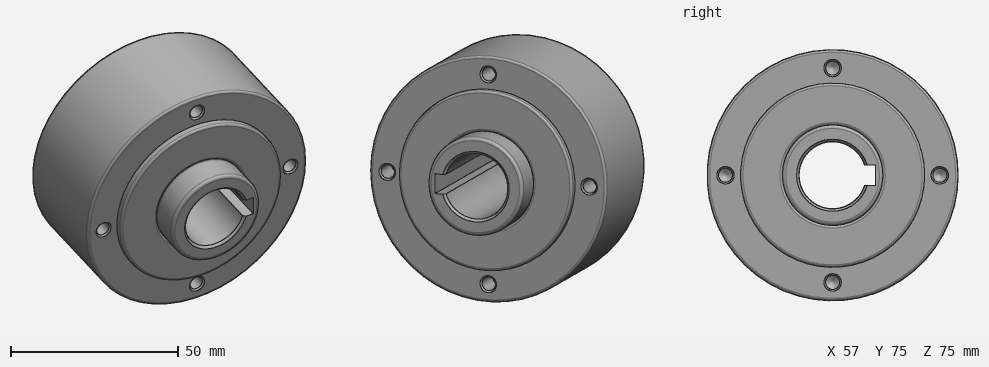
import cadquery as cq
import math

hub_length = 57.0
flange_length = 39.0
body_length = 34.0

body_diameter = 75.0
flange_diameter = 55.0
hub_diameter = 30.0
bore_diameter = 20.0

body_round = 0.75
flange_round = 0.75
hub_round = 1.0
bore_chamfer = 0.75
flange_inner_round = 0.75

key_width = 6.0
key_reach = 12.8

hole_count = 4
hole_circle_diameter = 64.0
hole_diameter = 4.2
hole_mouth_diameter = 5.2
hole_depth = 10.0
drill_tip_angle = 118.0


def rounded_disc(diameter, length, edge_round):
    """Disc on the X axis, centred on the origin, with both rims rounded."""
    disc = cq.Workplane("YZ", origin=(-length / 2, 0, 0)).circle(diameter / 2).extrude(length)
    return disc.edges("%CIRCLE").fillet(edge_round)


def revolve_about_x(points):
    """Solid of revolution about X from an outline of (x, radius) points."""
    profile = cq.Workplane("XY").polyline(points).close()
    return profile.revolve(360, (0, 0, 0), (1, 0, 0))


def both_ends(feature):
    """The feature together with its mirror image across the mid plane."""
    return feature.union(feature.mirror("YZ"))


def hub_grooves():
    """Grooves around the hub, left by the rounded inner rims of the flange faces."""
    face = -flange_length / 2
    hub_radius = hub_diameter / 2
    arc_center_x = face + flange_inner_round
    arc_center_radius = hub_radius + flange_inner_round
    diagonal = flange_inner_round * math.sqrt(0.5)
    profile = (
        cq.Workplane("XY")
        .moveTo(face, hub_radius)
        .lineTo(face, arc_center_radius)
        .threePointArc(
            (arc_center_x - diagonal, arc_center_radius - diagonal),
            (arc_center_x, hub_radius),
        )
        .close()
    )
    return both_ends(profile.revolve(360, (0, 0, 0), (1, 0, 0)))


def bore():
    """Through bore with a chamfer at each end."""
    end = hub_length / 2
    radius = bore_diameter / 2
    mouth_radius = radius + bore_chamfer
    return revolve_about_x([
        (-end, 0),
        (-end, mouth_radius),
        (-end + bore_chamfer, radius),
        (end - bore_chamfer, radius),
        (end, mouth_radius),
        (end, 0),
    ])


def keyway():
    """Rectangular key slot running the whole length of the bore."""
    return cq.Workplane("XY").box(hub_length, key_reach, key_width, centered=(True, False, True))


def tapped_holes():
    """Countersunk blind holes with conical bottoms, in both body faces."""
    face = -body_length / 2
    radius = hole_diameter / 2
    mouth_radius = hole_mouth_diameter / 2
    tip_length = radius / math.tan(math.radians(drill_tip_angle / 2))
    hole = revolve_about_x([
        (face, 0),
        (face, mouth_radius),
        (face + mouth_radius - radius, radius),
        (face + hole_depth, radius),
        (face + hole_depth + tip_length, 0),
    ]).translate((0, hole_circle_diameter / 2, 0))
    holes = cq.Workplane("XY")
    for index in range(hole_count):
        angle = index * 360 / hole_count
        holes = holes.add(hole.rotate((0, 0, 0), (1, 0, 0), angle))
    return both_ends(holes.combine())


result = (
    rounded_disc(body_diameter, body_length, body_round)
    .union(rounded_disc(flange_diameter, flange_length, flange_round))
    .union(rounded_disc(hub_diameter, hub_length, hub_round))
    .cut(hub_grooves())
    .cut(bore())
    .cut(keyway())
    .cut(tapped_holes())
)